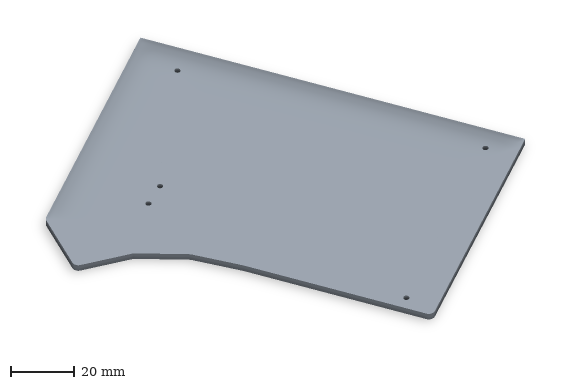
import cadquery as cq

width = 129.5
thickness = 2.5
front_edge_y = -83.8
left_corner = (0, -86.2)
tip = (16.0, -102.7)
lower_bend = (31.4, -91.0)
upper_bend = (48.2, -85.0)
straight_edge_start = (65.8, front_edge_y)
front_right_corner = (width, front_edge_y)

corner_radius = 2.1
bend_radius = 8.0

hole_diameter = 2.0
hole_centers = [
    (16.0, -9.7),
    (119.2, -8.2),
    (119.0, -79.4),
    (28.9, -59.9),
    (28.1, -68.4),
]


def round_vertical_edge(body, point, radius):
    """Round the upright edge that passes through an outline point."""
    x, y = point
    edge = cq.selectors.NearestToPointSelector((x, y, thickness / 2))
    return body.edges("|Z").edges(edge).fillet(radius)


plate = (
    cq.Workplane("XY")
    .polyline([
        (0, 0),
        (width, 0),
        front_right_corner,
        straight_edge_start,
        upper_bend,
        lower_bend,
        tip,
        left_corner,
    ])
    .close()
    .extrude(thickness)
)

for corner in (front_right_corner, tip, left_corner):
    plate = round_vertical_edge(plate, corner, corner_radius)
plate = round_vertical_edge(plate, upper_bend, bend_radius)

holes = (
    cq.Workplane("XY")
    .pushPoints(hole_centers)
    .circle(hole_diameter / 2)
    .extrude(thickness)
)

result = plate.cut(holes)